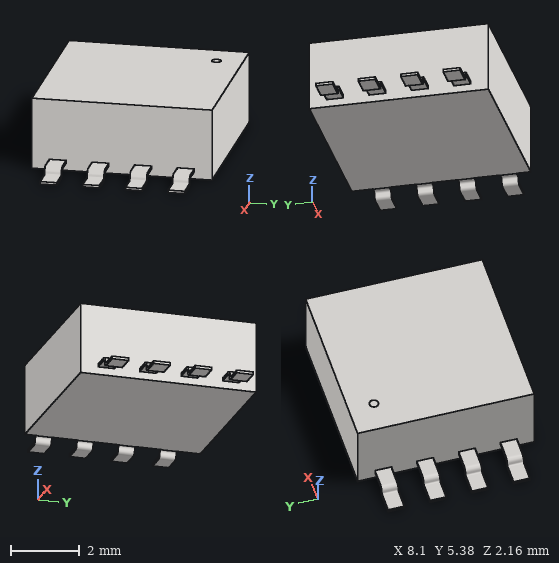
import cadquery as cq
import math

overall_length = 8.1
housing_side = 5.38
housing_height = 2.16

leads_per_side = 4
lead_pitch = 1.27
lead_width = 0.5
lead_thickness = 0.08
shoulder_height = 0.315
foot_length = 0.58
foot_bend_radius = 0.053
shoulder_bend_radius = 0.17
web_angle = 80.0

dot_diameter = 0.27
dot_depth = 0.08
dot_x = -1.725
dot_y = lead_pitch * (leads_per_side - 1) / 2


def point_on_arc(center, radius, degrees):
    angle = math.radians(degrees)
    return (center[0] + radius * math.cos(angle), center[1] + radius * math.sin(angle))


def make_dot():
    return (
        cq.Workplane("XY", origin=(dot_x, dot_y, housing_height - dot_depth))
        .circle(dot_diameter / 2)
        .extrude(dot_depth)
    )


def make_housing():
    block = cq.Workplane("XY").box(
        housing_side, housing_side, housing_height, centered=(True, True, False)
    )
    return block.cut(make_dot())


def make_left_lead(y_center):
    """Lead on the -X side: flat foot, sloping web and flat shoulder of constant thickness."""
    tip_x = -overall_length / 2
    root_x = -housing_side / 2
    slope = math.radians(web_angle)

    foot_center = (tip_x + foot_length, lead_thickness + foot_bend_radius)
    shoulder_center_z = shoulder_height - shoulder_bend_radius
    radius_sum = foot_bend_radius + shoulder_bend_radius
    web_rise = shoulder_center_z - foot_center[1] + radius_sum * math.cos(slope)
    center_gap = radius_sum * math.sin(slope) + web_rise / math.tan(slope)
    shoulder_center = (foot_center[0] + center_gap, shoulder_center_z)

    foot_start, foot_end = -90, web_angle - 90
    foot_middle = (foot_start + foot_end) / 2
    shoulder_start, shoulder_end = web_angle + 90, 90
    shoulder_middle = (shoulder_start + shoulder_end) / 2
    foot_under_radius = foot_bend_radius + lead_thickness
    shoulder_under_radius = shoulder_bend_radius - lead_thickness

    def foot_point(radius, degrees):
        return point_on_arc(foot_center, radius, degrees)

    def shoulder_point(radius, degrees):
        return point_on_arc(shoulder_center, radius, degrees)

    profile = (
        cq.Workplane("XZ", origin=(0, y_center + lead_width / 2, 0))
        .moveTo(tip_x, lead_thickness)
        .lineTo(*foot_point(foot_bend_radius, foot_start))
        .threePointArc(foot_point(foot_bend_radius, foot_middle), foot_point(foot_bend_radius, foot_end))
        .lineTo(*shoulder_point(shoulder_bend_radius, shoulder_start))
        .threePointArc(
            shoulder_point(shoulder_bend_radius, shoulder_middle),
            shoulder_point(shoulder_bend_radius, shoulder_end),
        )
        .lineTo(root_x, shoulder_height)
        .lineTo(root_x, shoulder_height - lead_thickness)
        .lineTo(*shoulder_point(shoulder_under_radius, shoulder_end))
        .threePointArc(
            shoulder_point(shoulder_under_radius, shoulder_middle),
            shoulder_point(shoulder_under_radius, shoulder_start),
        )
        .lineTo(*foot_point(foot_under_radius, foot_end))
        .threePointArc(foot_point(foot_under_radius, foot_middle), foot_point(foot_under_radius, foot_start))
        .lineTo(tip_x, 0)
        .close()
    )
    return profile.extrude(lead_width)


def make_leads():
    leads = []
    for index in range(leads_per_side):
        y_center = (index - (leads_per_side - 1) / 2) * lead_pitch
        left_lead = make_left_lead(y_center)
        leads.append(left_lead)
        leads.append(left_lead.mirror("YZ"))
    return leads


housing = make_housing()
orientation_dot = make_dot()
leads = make_leads()

result = cq.Compound.makeCompound(
    [housing.val(), orientation_dot.val(), *[lead.val() for lead in leads]]
)